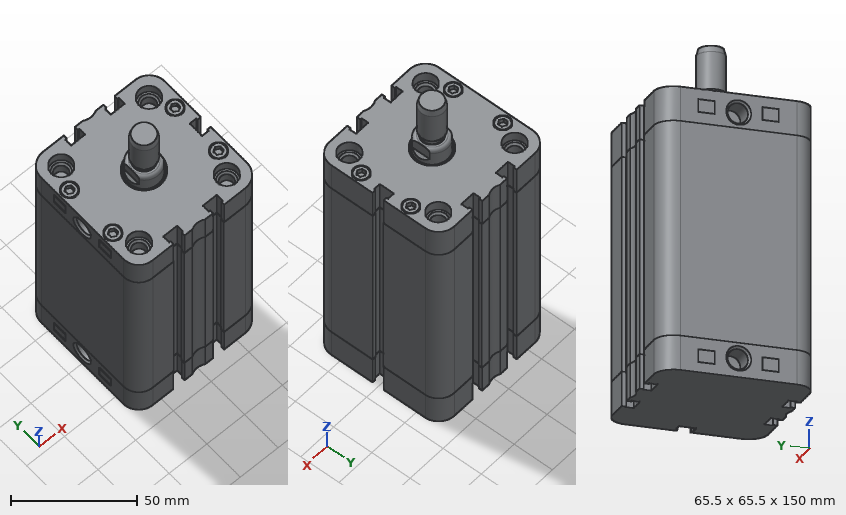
import cadquery as cq
import math

SIDE = 65.5
TOTAL_HEIGHT = 150
BODY_HEIGHT = 120
CAP_HEIGHT = 14.5
CORNER_RADIUS = 8.2
HALF_SIDE = SIDE / 2
BARREL_TOP = BODY_HEIGHT - CAP_HEIGHT
BARREL_HEIGHT = BODY_HEIGHT - 2 * CAP_HEIGHT
CUT_MARGIN = 1.5

SLOT_OFFSET = 10.5
SLOT_MOUTH_WIDTH = 5.5
SLOT_INNER_WIDTH = 7.0
SLOT_DEPTH = 5.1
CAP_SLOT_CLEARANCE = 0.2
SLOT_LIP = 1.8
SIDE_GROOVE_WIDTH = 6.8
SIDE_GROOVE_DEPTH = 0.9

MOUNT_SPACING = 46.5
MOUNT_COUNTERBORE = 10.5
MOUNT_COUNTERBORE_DEPTH = 5.0
MOUNT_THREAD = 6.6
MOUNT_THREAD_CHAMFER = 8.5
MOUNT_THREAD_DEPTH = 6

SCREW_SPACING_X = 56.0
SCREW_SPACING_Y = 26.0
SCREW_HEAD = 6.9
SCREW_RECESS = 7.6
SCREW_RECESS_DEPTH = 0.8
SCREW_HEX = 3.6
SCREW_HEX_DEPTH = 2.2

SEAL_RECESS = 17.7
SEAL_CHAMFER = 0.5
ROD_CLEARANCE = 16.5
ROD_CLEARANCE_DEPTH = 1.5

PORT_DIAMETER = 8.5
PORT_CHAMFER_DIAMETER = 10.5
PORT_DEPTH = 10.0
PORT_FROM_END = 8.0
PORT_FLOOR_RADIUS = 22.5
PASSAGE_DIAMETER = 3.5
PASSAGE_DROP = 2.0
PASSAGE_DEPTH = 1.5
PASSAGE_FLOOR_RADIUS = 12
PLATE_OFFSET = 13.5
PLATE_FROM_END = 7.0
PLATE_WIDTH = 6.9
PLATE_HEIGHT = 5.4
PLATE_DEPTH = 0.3

ROD_DIAMETER = 16.0
ROD_SHOULDER = 128.2
ROD_SHOULDER_ROUND = 1.8
FLAT_WIDTH = 13.2
FLAT_BOTTOM = 122.7
NECK_DIAMETER = 10.0
COLLAR_DIAMETER = 10.5
COLLAR_HEIGHT = 0.3
THREAD_DIAMETER = 12
THREAD_BOTTOM = 131.4
THREAD_BOTTOM_CHAMFER = 0.8
TIP_CHAMFER_WIDTH = 0.8
TIP_CHAMFER_HEIGHT = 2.7


def box_between(x_range, y_range, height):
    """Box on Z = 0 between two X values and two Y values."""
    x_size = x_range[1] - x_range[0]
    y_size = y_range[1] - y_range[0]
    box = cq.Workplane("XY").box(x_size, y_size, height, centered=False)
    return box.translate((x_range[0], y_range[0], 0))


def t_slot(height, clearance):
    """Undercut slot opening to +Y, at the middle of the +Y side."""
    half_mouth = SLOT_MOUTH_WIDTH / 2 + clearance
    half_inner = SLOT_INNER_WIDTH / 2 + clearance
    floor = HALF_SIDE - SLOT_DEPTH - clearance
    mouth = box_between((-half_mouth, half_mouth), (floor, HALF_SIDE + CUT_MARGIN), height)
    undercut = box_between((-half_inner, half_inner), (floor, HALF_SIDE - SLOT_LIP), height)
    return mouth.union(undercut)


def side_groove(height):
    """Shallow round groove at the middle of the +Y side."""
    radius = ((SIDE_GROOVE_WIDTH / 2) ** 2 + SIDE_GROOVE_DEPTH**2) / (2 * SIDE_GROOVE_DEPTH)
    centre_y = HALF_SIDE - SIDE_GROOVE_DEPTH + radius
    return cq.Workplane("XY").center(0, centre_y).circle(radius).extrude(height)


def profile(height, slot_clearance=0):
    """Extruded cross-section of the barrel or, with slot clearance, of a cap."""
    body = cq.Workplane("XY").rect(SIDE, SIDE).extrude(height)
    body = body.edges("|Z").fillet(CORNER_RADIUS)
    slot = t_slot(height, slot_clearance)
    for turn in (0, 180):
        cutters = [
            slot.translate((-SLOT_OFFSET, 0, 0)),
            slot.translate((SLOT_OFFSET, 0, 0)),
            side_groove(height),
        ]
        for cutter in cutters:
            body = body.cut(cutter.rotate((0, 0, 0), (0, 0, 1), turn))
    return body.cut(slot.rotate((0, 0, 0), (0, 0, 1), -90))


def into_left_side(z):
    """Workplane on the -X side whose extrusion goes into the body; local Y is Z."""
    return cq.Workplane(cq.Plane((-HALF_SIDE, 0, z), (0, -1, 0), (1, 0, 0)))


def side_hole(z, diameter, depth):
    """Flat-floored hole in the -X side."""
    return into_left_side(z).circle(diameter / 2).extrude(depth)


def round_floor(z, depth, radius):
    """Cylinder along Y that limits a hole in the -X side to a hollow floor."""
    axis_x = depth - radius - HALF_SIDE
    return cq.Workplane("XZ").center(axis_x, z).circle(radius).extrude(SIDE / 2, both=True)


def port_chamfer(z):
    """Cone that opens the mouth of an air port."""
    height = (PORT_CHAMFER_DIAMETER - PORT_DIAMETER) / 2
    mouth = cq.Vector(-HALF_SIDE, 0, z)
    return cq.Solid.makeCone(PORT_CHAMFER_DIAMETER / 2, PORT_DIAMETER / 2, height, mouth, cq.Vector(1, 0, 0))


def plates(z):
    """Two shallow rectangular recesses beside a port."""
    return (
        into_left_side(z).pushPoints([(-PLATE_OFFSET, 0), (PLATE_OFFSET, 0)])
        .rect(PLATE_WIDTH, PLATE_HEIGHT).extrude(PLATE_DEPTH)
    )


def make_rear_cap():
    cap = profile(CAP_HEIGHT, CAP_SLOT_CLEARANCE)
    port = side_hole(PORT_FROM_END, PORT_DIAMETER, PORT_DEPTH)
    port = port.intersect(round_floor(PORT_FROM_END, PORT_DEPTH, PORT_FLOOR_RADIUS))
    return cap.cut(port).cut(port_chamfer(PORT_FROM_END)).cut(plates(PLATE_FROM_END))


def make_barrel():
    return profile(BARREL_HEIGHT).translate((0, 0, CAP_HEIGHT))


def add_mounting_holes(cap):
    """Counterbored blind threads at the four corners."""
    thread_mouth = BODY_HEIGHT - MOUNT_COUNTERBORE_DEPTH
    chamfer = (MOUNT_THREAD_CHAMFER - MOUNT_THREAD) / 2
    hole_outline = [
        (0, BODY_HEIGHT),
        (MOUNT_COUNTERBORE / 2, BODY_HEIGHT),
        (MOUNT_COUNTERBORE / 2, thread_mouth),
        (MOUNT_THREAD_CHAMFER / 2, thread_mouth),
        (MOUNT_THREAD / 2, thread_mouth - chamfer),
        (MOUNT_THREAD / 2, thread_mouth - MOUNT_THREAD_DEPTH),
        (0, thread_mouth - MOUNT_THREAD_DEPTH),
    ]
    hole = cq.Workplane("XZ").polyline(hole_outline).close().revolve(360, (0, 0, 0), (0, 1, 0))
    for x in (-MOUNT_SPACING / 2, MOUNT_SPACING / 2):
        for y in (-MOUNT_SPACING / 2, MOUNT_SPACING / 2):
            cap = cap.cut(hole.translate((x, y, 0)))
    return cap


def add_screw_heads(cap):
    """Four flush socket screw heads, each marked by a ring groove and a hexagon socket."""
    heads = cq.Workplane("XY", origin=(0, 0, BODY_HEIGHT)).rarray(SCREW_SPACING_X, SCREW_SPACING_Y, 2, 2)
    rings = heads.circle(SCREW_RECESS / 2).circle(SCREW_HEAD / 2).extrude(-SCREW_RECESS_DEPTH)
    across_corners = SCREW_HEX / math.cos(math.radians(30))
    socket = (
        cq.Workplane("XY", origin=(0, 0, BODY_HEIGHT))
        .transformed(rotate=(0, 0, 90))
        .rarray(SCREW_SPACING_Y, SCREW_SPACING_X, 2, 2)
        .polygon(6, across_corners).extrude(-SCREW_HEX_DEPTH)
    )
    return cap.cut(rings).cut(socket)


def add_rod_bore(cap):
    """Through bore for the rod, with a chamfered seal recess around it."""
    recess_floor = BODY_HEIGHT - SEAL_CHAMFER
    clearance_floor = BODY_HEIGHT - ROD_CLEARANCE_DEPTH
    bore_outline = [
        (0, BARREL_TOP),
        (ROD_DIAMETER / 2, BARREL_TOP),
        (ROD_DIAMETER / 2, clearance_floor),
        (ROD_CLEARANCE / 2, clearance_floor),
        (ROD_CLEARANCE / 2, recess_floor),
        (SEAL_RECESS / 2, recess_floor),
        (SEAL_RECESS / 2 + SEAL_CHAMFER, BODY_HEIGHT),
        (0, BODY_HEIGHT),
    ]
    return cap.cut(cq.Workplane("XZ").polyline(bore_outline).close().revolve(360, (0, 0, 0), (0, 1, 0)))


def make_front_cap():
    cap = profile(CAP_HEIGHT, CAP_SLOT_CLEARANCE).translate((0, 0, BARREL_TOP))
    port_z = BODY_HEIGHT - PORT_FROM_END
    port = side_hole(port_z, PORT_DIAMETER, PORT_DEPTH)
    passage_z = port_z - PASSAGE_DROP
    passage_end = PORT_DEPTH + PASSAGE_DEPTH
    passage = side_hole(passage_z, PASSAGE_DIAMETER, passage_end)
    passage = passage.intersect(round_floor(passage_z, passage_end, PASSAGE_FLOOR_RADIUS))
    cap = cap.cut(port).cut(port_chamfer(port_z)).cut(passage)
    cap = cap.cut(plates(BODY_HEIGHT - PLATE_FROM_END))
    cap = add_mounting_holes(cap)
    cap = add_screw_heads(cap)
    return add_rod_bore(cap)


def make_rod():
    """Rod with a rounded shoulder, two wrench flats, a neck and a plain threaded end."""
    rod_radius = ROD_DIAMETER / 2
    neck_radius = NECK_DIAMETER / 2
    collar_radius = COLLAR_DIAMETER / 2
    thread_radius = THREAD_DIAMETER / 2
    outline = [
        (0, BARREL_TOP),
        (rod_radius, BARREL_TOP),
        (rod_radius, ROD_SHOULDER),
        (collar_radius, ROD_SHOULDER),
        (collar_radius, ROD_SHOULDER + COLLAR_HEIGHT),
        (neck_radius, ROD_SHOULDER + COLLAR_HEIGHT),
        (neck_radius, THREAD_BOTTOM - THREAD_BOTTOM_CHAMFER),
        (collar_radius, THREAD_BOTTOM - THREAD_BOTTOM_CHAMFER),
        (thread_radius, THREAD_BOTTOM),
        (thread_radius, TOTAL_HEIGHT - TIP_CHAMFER_HEIGHT),
        (thread_radius - TIP_CHAMFER_WIDTH, TOTAL_HEIGHT),
        (0, TOTAL_HEIGHT),
    ]
    rod = cq.Workplane("XZ").polyline(outline).close().revolve(360, (0, 0, 0), (0, 1, 0))
    shoulder_edge = cq.selectors.RadiusNthSelector(-1)
    shoulder_face = cq.selectors.NearestToPointSelector((0, rod_radius, ROD_SHOULDER))
    rod = rod.faces(shoulder_face).edges(shoulder_edge).fillet(ROD_SHOULDER_ROUND)

    half_flat = FLAT_WIDTH / 2
    run_out = rod_radius - half_flat
    flat_outline = [
        (half_flat, ROD_SHOULDER),
        (half_flat, FLAT_BOTTOM),
        (rod_radius, FLAT_BOTTOM - run_out),
        (rod_radius, ROD_SHOULDER),
    ]
    flat = cq.Workplane("XZ").polyline(flat_outline).close().extrude(rod_radius, both=True)
    return rod.cut(flat).cut(flat.mirror("YZ"))


rear_cap = make_rear_cap()
barrel = make_barrel()
front_cap = make_front_cap()
rod = make_rod()

result = cq.Compound.makeCompound([rear_cap.val(), barrel.val(), front_cap.val(), rod.val()])